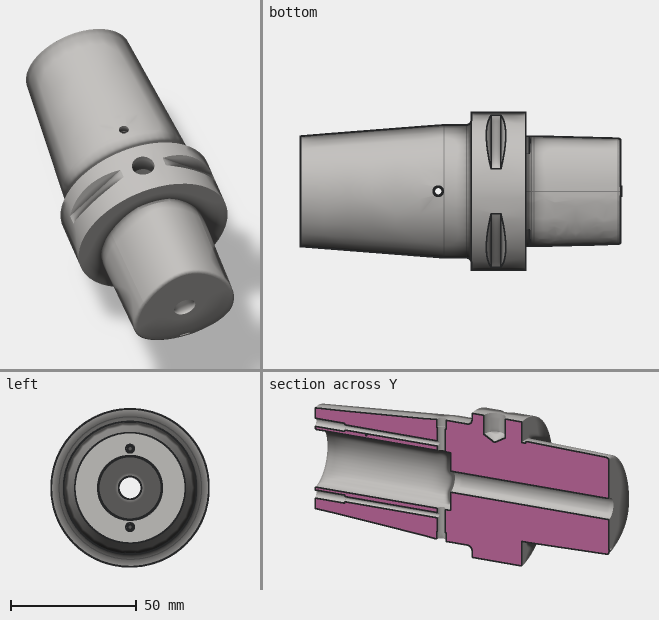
import cadquery as cq
import math

OVERALL_LENGTH = 128.0
NOSE_CONE_END = 57.1
FLANGE_START = 68.1
FLANGE_WIDTH = 21.8
FLANGE_END = FLANGE_START + FLANGE_WIDTH
NECK_LENGTH = 2.0
COLLAR_LENGTH = 1.0
TAPER_START = FLANGE_END + NECK_LENGTH + COLLAR_LENGTH
KEY_HEIGHT = 0.4
SHANK_END = OVERALL_LENGTH - KEY_HEIGHT

NOSE_RADIUS = 22.0
BODY_RADIUS = 53.0 / 2
FLANGE_RADIUS = 63.0 / 2
BODY_FILLET = 1.9

SHANK_RADIUS = 22.0
LOBE_HEIGHT = 1.3
LOBE_COUNT = 3
TAPER_SLOPE = 1 / 40
SHANK_END_FILLET = 1.2
NECK_RADIUS = 22.5
NECK_RUNOUT = 0.6
POINTS_PER_SIDE = 12

KEY_WIDTH = 3.8
KEY_THICKNESS = 0.8
KEY_Z = -18.2
KEY_ROOT = 0.8

GROOVE_X = 78.0
GROOVE_FLOOR_WIDTH = 3.8
GROOVE_FLOOR_DISTANCE = 27.6
GROOVE_WALL_ANGLE = 27.0
GROOVE_ANGLES = (45, 135, 225, 315)
DIMPLE_DIAMETER = 9.0
DIMPLE_DEPTH = 8.3
DRILL_POINT_ANGLE = 118.0

BORE_DIAMETER = 25.0
BORE_DEPTH = 58.9
BORE_CHAMFER_WIDTH = 0.4
BORE_CHAMFER_LENGTH = 0.8
THROUGH_DIAMETER = 9.0

CROSS_HOLE_X = 54.9
CROSS_HOLE_DIAMETER = 3.2
PLUG_DIAMETER = 4.0
PLUG_DEPTH = 3.8
NOZZLE_Z = 15.6
NOZZLE_DIAMETER = 2.0
NOZZLE_MOUTH_DIAMETER = 3.3
NOZZLE_MOUTH_DEPTH = 12.8


def revolve_about_x(profile):
    return profile.close().revolve(360, (0, 0, 0), (1, 0, 0))


def turned_body():
    profile = (
        cq.Workplane("XY")
        .lineTo(0, NOSE_RADIUS)
        .lineTo(NOSE_CONE_END, BODY_RADIUS)
        .lineTo(FLANGE_START - BODY_FILLET, BODY_RADIUS)
        .radiusArc((FLANGE_START, BODY_RADIUS + BODY_FILLET), -BODY_FILLET)
        .lineTo(FLANGE_START, FLANGE_RADIUS)
        .lineTo(FLANGE_END, FLANGE_RADIUS)
        .lineTo(FLANGE_END, 0)
    )
    return revolve_about_x(profile)


def lobe_point(x, mean_radius, angle):
    """Point where the lobed curve's tangent is square to the direction at angle from +Z."""
    reach = mean_radius + LOBE_HEIGHT * math.cos(LOBE_COUNT * angle)
    slope = -LOBE_COUNT * LOBE_HEIGHT * math.sin(LOBE_COUNT * angle)
    y = reach * math.sin(angle) + slope * math.cos(angle)
    z = reach * math.cos(angle) - slope * math.sin(angle)
    return cq.Vector(x, y, z)


def lobed_wire(x, mean_radius):
    """One spline per lobe, joined at the middles of the three flats."""
    side_angle = 2 * math.pi / LOBE_COUNT
    edges = []
    for side in range(LOBE_COUNT):
        start = (side - 0.5) * side_angle
        points = [
            lobe_point(x, mean_radius, start + side_angle * step / POINTS_PER_SIDE)
            for step in range(POINTS_PER_SIDE + 1)
        ]
        tangents = [
            cq.Vector(0, math.cos(angle), -math.sin(angle)) for angle in (start, start + side_angle)
        ]
        edges.append(cq.Edge.makeSpline(points, tangents=tangents))
    return cq.Wire.assembleEdges(edges)


def lobed_section(x_start, x_end, end_radius=SHANK_RADIUS):
    wires = [lobed_wire(x_start, SHANK_RADIUS), lobed_wire(x_end, end_radius)]
    return cq.Workplane(obj=cq.Solid.makeLoft(wires, True))


def shank():
    neck_end = FLANGE_END + NECK_LENGTH
    lobe_clearance = SHANK_RADIUS + 2 * LOBE_HEIGHT
    neck_envelope = revolve_about_x(
        cq.Workplane("XY")
        .moveTo(FLANGE_END, 0)
        .lineTo(FLANGE_END, NECK_RADIUS)
        .lineTo(neck_end - NECK_RUNOUT, NECK_RADIUS)
        .lineTo(neck_end, lobe_clearance)
        .lineTo(neck_end, 0)
    )
    neck = lobed_section(FLANGE_END, neck_end).intersect(neck_envelope)
    collar = lobed_section(neck_end, TAPER_START)
    end_radius = SHANK_RADIUS - (SHANK_END - TAPER_START) * TAPER_SLOPE
    taper = lobed_section(TAPER_START, SHANK_END, end_radius).faces(">X").edges().fillet(SHANK_END_FILLET)
    return neck.union(collar, clean=False).union(taper, clean=False)


def locating_key():
    key_length = KEY_HEIGHT + KEY_ROOT
    return cq.Workplane("XY").box(key_length, KEY_WIDTH, KEY_THICKNESS).translate(
        (OVERALL_LENGTH - key_length / 2, 0, KEY_Z)
    )


def gripper_groove(angle):
    """Flat-floored groove with flared walls, running tangentially across the flange."""
    depth = FLANGE_RADIUS - GROOVE_FLOOR_DISTANCE
    half_floor = GROOVE_FLOOR_WIDTH / 2
    half_mouth = half_floor + depth * math.tan(math.radians(GROOVE_WALL_ANGLE))
    profile = [
        (GROOVE_X - half_floor, GROOVE_FLOOR_DISTANCE),
        (GROOVE_X + half_floor, GROOVE_FLOOR_DISTANCE),
        (GROOVE_X + half_mouth, FLANGE_RADIUS),
        (GROOVE_X - half_mouth, FLANGE_RADIUS),
    ]
    groove = cq.Workplane("XZ").polyline(profile).close().extrude(FLANGE_RADIUS, both=True)
    return groove.rotate((0, 0, 0), (1, 0, 0), angle)


def flange_dimple():
    radius = DIMPLE_DIAMETER / 2
    shoulder = FLANGE_RADIUS - DIMPLE_DEPTH
    tip = shoulder - radius / math.tan(math.radians(DRILL_POINT_ANGLE / 2))
    profile = [(0, tip), (radius, shoulder), (radius, FLANGE_RADIUS), (0, FLANGE_RADIUS)]
    dimple = cq.Workplane("XZ").polyline(profile).close().revolve(360, (0, 0, 0), (0, 1, 0))
    return dimple.translate((GROOVE_X, 0, 0))


def central_bore():
    radius = BORE_DIAMETER / 2
    profile = (
        cq.Workplane("XY")
        .lineTo(0, radius + BORE_CHAMFER_WIDTH)
        .lineTo(BORE_CHAMFER_LENGTH, radius)
        .lineTo(BORE_DEPTH, radius)
        .lineTo(BORE_DEPTH, THROUGH_DIAMETER / 2)
        .lineTo(OVERALL_LENGTH, THROUGH_DIAMETER / 2)
        .lineTo(OVERALL_LENGTH, 0)
    )
    return revolve_about_x(profile)


def cross_hole():
    """Radial channel through both walls, counterbored for a plug at each end."""
    hole = cq.Workplane("XY").circle(CROSS_HOLE_DIAMETER / 2).extrude(BODY_RADIUS, both=True)
    plug = cq.Workplane("XY", origin=(0, 0, BODY_RADIUS - PLUG_DEPTH)).circle(PLUG_DIAMETER / 2)
    plug_seat = plug.extrude(PLUG_DEPTH)
    return hole.union(plug_seat).union(plug_seat.mirror("XY")).translate((CROSS_HOLE_X, 0, 0))


def nozzle():
    """Axial channel from the nose face to the cross hole, with a wider drilled mouth."""
    radius = NOZZLE_DIAMETER / 2
    mouth_radius = NOZZLE_MOUTH_DIAMETER / 2
    drill_point_length = (mouth_radius - radius) / math.tan(math.radians(DRILL_POINT_ANGLE / 2))
    profile = (
        cq.Workplane("XY")
        .lineTo(0, mouth_radius)
        .lineTo(NOZZLE_MOUTH_DEPTH, mouth_radius)
        .lineTo(NOZZLE_MOUTH_DEPTH + drill_point_length, radius)
        .lineTo(CROSS_HOLE_X, radius)
        .lineTo(CROSS_HOLE_X, 0)
    )
    return revolve_about_x(profile)


result = turned_body().union(shank(), clean=False).union(locating_key(), clean=False)

for groove_angle in GROOVE_ANGLES:
    result = result.cut(gripper_groove(groove_angle), clean=False)

result = result.cut(flange_dimple(), clean=False)
result = result.cut(central_bore(), clean=False)
result = result.cut(cross_hole(), clean=False)

for nozzle_z in (NOZZLE_Z, -NOZZLE_Z):
    result = result.cut(nozzle().translate((0, 0, nozzle_z)), clean=False)